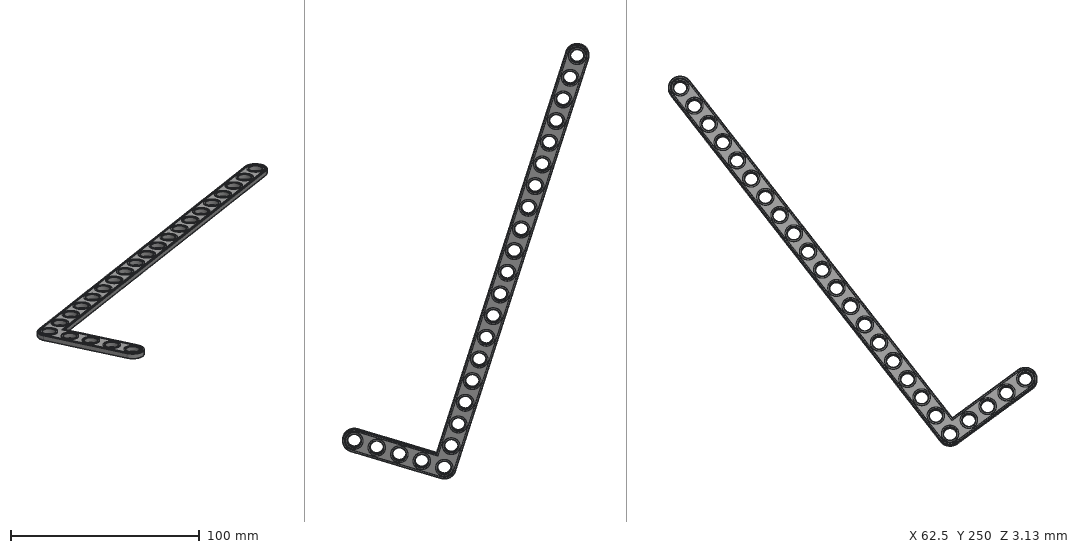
import cadquery as cq

pitch = 12.5
long_arm_holes = 20
short_arm_holes = 5
hole_diameter = 7.0
boss_diameter = 9.2
rim_width = 1.05
recess_depth = 0.3
edge_chamfer = 0.3
hole_chamfer = 0.3

thickness = pitch / 4
end_radius = pitch / 2
long_reach = pitch * (long_arm_holes - 1)
short_reach = pitch * (short_arm_holes - 1)
hole_centres = [(0, pitch * i) for i in range(long_arm_holes)]
hole_centres += [(pitch * i, 0) for i in range(1, short_arm_holes)]


def extrude_outline(inset, bottom, height):
    """L-shaped prism with round ends and a round outer corner, inset from the plate outline."""
    r = end_radius - inset
    return (
        cq.Workplane("XY")
        .workplane(offset=bottom)
        .moveTo(0, -r)
        .lineTo(short_reach, -r)
        .threePointArc((short_reach + r, 0), (short_reach, r))
        .lineTo(r, r)
        .lineTo(r, long_reach)
        .threePointArc((0, long_reach + r), (-r, long_reach))
        .lineTo(-r, 0)
        .radiusArc((0, -r), -r)
        .close()
        .extrude(height)
    )


def extrude_discs(diameter, bottom, height):
    """One round prism at every hole centre."""
    return (
        cq.Workplane("XY")
        .workplane(offset=bottom)
        .pushPoints(hole_centres)
        .circle(diameter / 2)
        .extrude(height)
    )


def make_recess(bottom):
    """Volume to sink into one face: all of it inside the border except the rings."""
    field = extrude_outline(rim_width, bottom, recess_depth)
    return field.cut(extrude_discs(boss_diameter, bottom, recess_depth))


def make_hole_cutters():
    """Through holes, flared at both mouths, as turned profiles."""
    hole_r = hole_diameter / 2
    mouth_r = hole_r + hole_chamfer
    cutter = (
        cq.Workplane("XZ")
        .polyline([
            (0, 0),
            (mouth_r, 0),
            (hole_r, hole_chamfer),
            (hole_r, thickness - hole_chamfer),
            (mouth_r, thickness),
            (0, thickness),
        ])
        .close()
        .revolve(360, (0, 0, 0), (0, 1, 0))
        .val()
    )
    return cq.Workplane("XY").pushPoints(hole_centres).eachpoint(lambda place: cutter.moved(place))


plate = extrude_outline(0, 0, thickness).faces("<Z or >Z").edges().chamfer(edge_chamfer)
for face_bottom in (0, thickness - recess_depth):
    plate = plate.cut(make_recess(face_bottom))
result = plate.cut(make_hole_cutters())